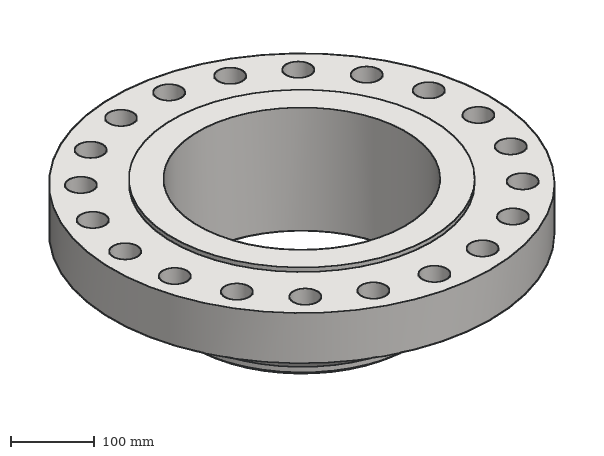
import cadquery as cq
import math

flange_diameter = 603.25
flange_thickness = 69.85
raised_face_diameter = 412.75
raised_face_height = 6.35
overall_length = 171.45
bore_diameter = 330.2

hub_base_diameter = 431.8
neck_diameter = 355.6
neck_length = 16.0
weld_land = 1.6
bevel_angle = 37.5
hub_fillet_radius = 15.0

bolt_circle_diameter = 527.05
bolt_hole_diameter = 38.1
bolt_hole_count = 20

raised_face_top = flange_thickness + raised_face_height
weld_end = raised_face_top - overall_length
hub_bottom = weld_end + neck_length
bevel_end_radius = bore_diameter / 2 + weld_land
bevel_depth = neck_diameter / 2 - bevel_end_radius
bevel_top = weld_end + bevel_depth * math.tan(math.radians(bevel_angle))


def flange_body():
    """Revolved disc, raised face, tapered hub and bevelled welding end with its bore."""
    profile = (
        cq.Workplane("XZ")
        .moveTo(bore_diameter / 2, weld_end)
        .lineTo(bevel_end_radius, weld_end)
        .lineTo(neck_diameter / 2, bevel_top)
        .lineTo(neck_diameter / 2, hub_bottom)
        .lineTo(hub_base_diameter / 2, 0)
        .lineTo(flange_diameter / 2, 0)
        .lineTo(flange_diameter / 2, flange_thickness)
        .lineTo(raised_face_diameter / 2, flange_thickness)
        .lineTo(raised_face_diameter / 2, raised_face_top)
        .lineTo(bore_diameter / 2, raised_face_top)
        .close()
    )
    return profile.revolve(360, (0, 0, 0), (0, 1, 0))


def fillet_hub_base(body):
    """Round the inside corner where the hub meets the back of the flange disc."""
    margin = 1.0
    reach = hub_base_diameter / 2 + margin
    corner = cq.selectors.BoxSelector((-reach, -reach, -margin), (reach, reach, margin), boundingbox=True)
    return body.edges(corner).fillet(hub_fillet_radius)


def bolt_holes():
    """Cylinders on the bolt circle, the first one on the X axis."""
    return (
        cq.Workplane("XY")
        .polarArray(bolt_circle_diameter / 2, 0, 360, bolt_hole_count)
        .circle(bolt_hole_diameter / 2)
        .extrude(flange_thickness)
    )


result = fillet_hub_base(flange_body()).cut(bolt_holes())